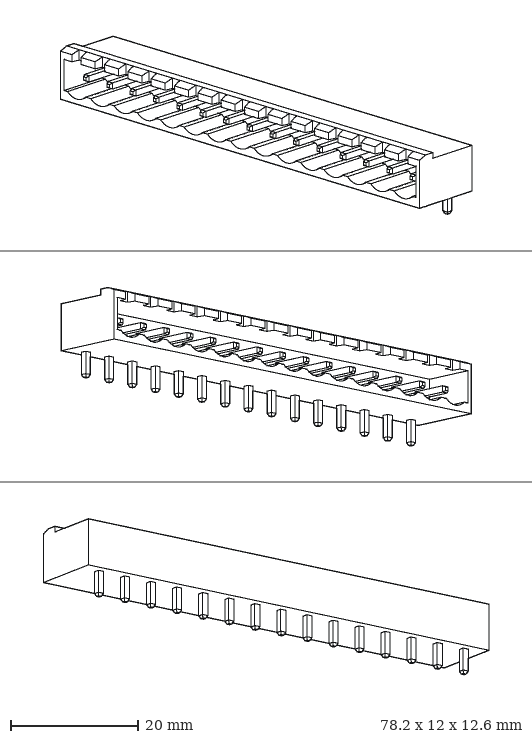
import cadquery as cq
import math

pin_count = 15
pitch = 5.1
length = 78.2
depth = 12.0
body_height = 7.6
lip_rise = 0.9
lip_depth = 3.05
lip_height = body_height + lip_rise

slope_depth = 1.4
slope_drop = 0.55
notch_back_width = 1.6
notch_front_width = 2.0

wall = 0.8
cavity_depth = 8.6
cavity_top = 6.8
cavity_floor = 1.65
scallop_radius = 2.9

pin_size = 1.0
pin_height = 3.75
contact_tip = 1.9
leg_length = 4.1
leg_inset = 1.95
tip_taper = 0.2
tip_length = 0.5

pin_positions = [(i - (pin_count - 1) / 2) * pitch for i in range(pin_count)]


def make_housing():
    """Side profile with the raised, front-sloping lip, extruded along the row."""
    return (
        cq.Workplane("YZ")
        .moveTo(0, 0)
        .lineTo(depth, 0)
        .lineTo(depth, body_height)
        .lineTo(lip_depth, body_height)
        .lineTo(lip_depth, lip_height)
        .lineTo(slope_depth, lip_height)
        .lineTo(0, lip_height - slope_drop)
        .close()
        .extrude(length / 2, both=True)
    )


def make_cavity():
    """Mating cavity whose floor has one scallop under each contact, concentric with it."""
    half_width = length / 2 - wall
    half_chord = math.sqrt(scallop_radius**2 - (pin_height - cavity_floor) ** 2)
    outline = cq.Workplane("XZ").moveTo(-half_width, cavity_top).lineTo(-half_width, cavity_floor)
    for x in pin_positions:
        outline = outline.lineTo(x - half_chord, cavity_floor).threePointArc(
            (x, pin_height - scallop_radius), (x + half_chord, cavity_floor)
        )
    outline = outline.lineTo(half_width, cavity_floor).lineTo(half_width, cavity_top).close()
    return outline.extrude(-cavity_depth)


def make_notch(x):
    """Notch through the lip above one contact, flaring toward the front."""
    return (
        cq.Workplane("XY")
        .workplane(offset=cavity_top)
        .polyline([
            (x - notch_front_width / 2, 0),
            (x + notch_front_width / 2, 0),
            (x + notch_back_width / 2, slope_depth),
            (x - notch_back_width / 2, slope_depth),
        ])
        .close()
        .extrude(lip_height - cavity_top)
    )


def make_pin(x):
    """Right-angle square pin: contact toward the front, solder leg downward, both tips tapered."""
    leg_y = depth - leg_inset
    elbow_y = leg_y + pin_size / 2
    contact = (
        cq.Workplane("XZ", origin=(x, elbow_y, pin_height))
        .rect(pin_size, pin_size)
        .extrude(elbow_y - contact_tip)
        .faces("<Y")
        .chamfer(tip_length, tip_taper)
    )
    leg = (
        cq.Workplane("XY", origin=(x, leg_y, pin_height))
        .rect(pin_size, pin_size)
        .extrude(-(pin_height + leg_length))
        .faces("<Z")
        .chamfer(tip_length, tip_taper)
    )
    return contact.union(leg)


result = make_housing().cut(make_cavity())
for pin_x in pin_positions:
    result = result.cut(make_notch(pin_x)).union(make_pin(pin_x))